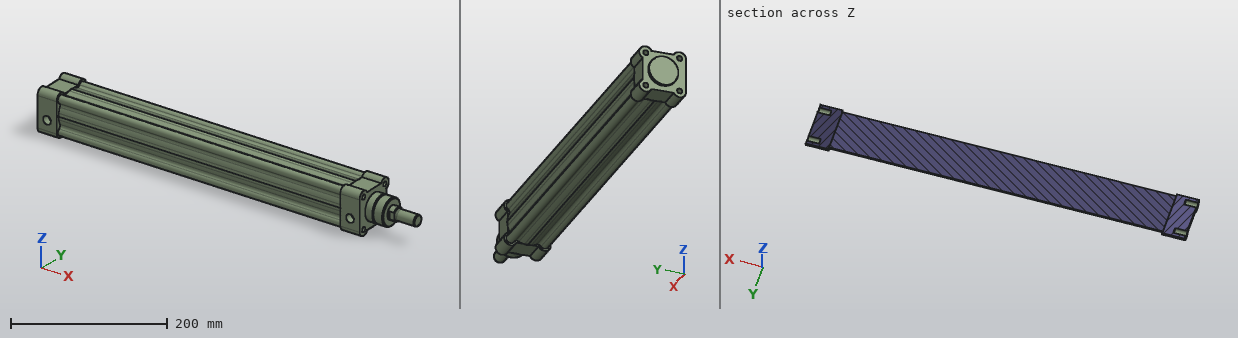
import cadquery as cq
import math


overall_length = 579.0
rear_boss_length = 4.0
cap_length = 30.0
barrel_length = 446.0
collar_length = 28.0
groove_distance = 11.0
groove_width = 2.0
thread_length = 32.0

cap_width = 64.5
tie_pitch = 46.5
recess_distance = 27.0
boss_diameter = 40.0
tie_hole_diameter = 7.0
tie_hole_depth = 16.0
port_diameter = 12.0
port_depth = 11.5
port_drop = 8.0
collar_edge_chamfer = 1.45
groove_depth = 0.5

tube_diameter = 55.5
ridge_half_width = 4.5
rib_diameter = 12.0
rib_blend_radius = 4.5

rod_diameter = 20.0
wrench_flat_width = 17.0
wrench_flat_length = 7.0
thread_diameter = 16.0
neck_length = 2.0
neck_cone_length = 2.0
thread_chamfer_length = 2.0
thread_chamfer_height = 0.5

tie_offset = tie_pitch / 2
half_width = cap_width / 2
ear_radius = half_width - tie_offset
rib_radius = rib_diameter / 2
tube_radius = tube_diameter / 2
rear_cap_start = rear_boss_length
barrel_start = rear_cap_start + cap_length
front_cap_start = barrel_start + barrel_length
front_cap_end = front_cap_start + cap_length
collar_end = front_cap_end + collar_length
thread_start = overall_length - thread_length


def section_at(x):
    """Sketch plane across the cylinder axis: local x is +Y, local y is +Z."""
    return cq.Workplane("YZ", origin=(x, 0, 0))


def tie_points(workplane):
    return workplane.rect(tie_pitch, tie_pitch, forConstruction=True).vertices()


def make_cap_block(x, tie_hole_x):
    """Cap with round corner ears, a flush -Y port face and three recessed sides."""
    core = (
        section_at(x)
        .center((recess_distance - half_width) / 2, 0)
        .rect(recess_distance + half_width, tie_pitch)
        .extrude(cap_length)
    )
    middle = section_at(x).rect(tie_pitch, 2 * recess_distance).extrude(cap_length)
    ears = tie_points(section_at(x)).circle(ear_radius).extrude(cap_length)
    tie_holes = tie_points(section_at(tie_hole_x)).circle(tie_hole_diameter / 2).extrude(tie_hole_depth)
    port = (
        cq.Workplane("XZ", origin=(x + cap_length / 2, -half_width, -port_drop))
        .circle(port_diameter / 2)
        .extrude(-port_depth)
    )
    return core.union(middle).union(ears).cut(tie_holes).cut(port)


def make_rear_cap():
    boss = section_at(0).circle(boss_diameter / 2).extrude(rear_boss_length)
    return make_cap_block(rear_cap_start, rear_cap_start).union(boss)


def make_front_cap():
    boss_radius = boss_diameter / 2
    collar = (
        section_at(front_cap_end)
        .circle(boss_radius)
        .extrude(collar_length)
        .faces(">X")
        .chamfer(collar_edge_chamfer)
    )
    groove = (
        section_at(front_cap_end + groove_distance)
        .circle(boss_radius)
        .circle(boss_radius - groove_depth)
        .extrude(groove_width)
    )
    block = make_cap_block(front_cap_start, front_cap_end - tie_hole_depth)
    return block.union(collar.cut(groove))


def polar(center, radius, angle):
    """Point at a radius and angle around a center."""
    return (center[0] + radius * math.cos(angle), center[1] + radius * math.sin(angle))


def add_arc(outline, center, radius, start_angle, end_angle):
    """Continue an outline with a circular arc that begins where the outline now ends."""
    middle_angle = (start_angle + end_angle) / 2
    return outline.threePointArc(polar(center, radius, middle_angle), polar(center, radius, end_angle))


def make_barrel():
    """Round body with a blended rib at each corner and a low peaked ridge along each side."""
    axis = (0, 0)
    rib_distance = tie_offset * math.sqrt(2)
    blend_distance = tube_radius + rib_blend_radius
    rib_reach = rib_radius + rib_blend_radius

    angle_at_axis = math.acos(
        (rib_distance**2 + blend_distance**2 - rib_reach**2) / (2 * rib_distance * blend_distance)
    )
    angle_at_rib = math.acos(
        (rib_distance**2 + rib_reach**2 - blend_distance**2) / (2 * rib_distance * rib_reach)
    )

    ridge_angle = math.asin(ridge_half_width / tube_radius)
    ridge_radius = tube_radius / math.cos(ridge_angle)

    outline = section_at(barrel_start).moveTo(ridge_radius, 0)
    for corner in range(4):
        side = corner * math.pi / 2
        diagonal = side + math.pi / 4
        next_side = side + math.pi / 2
        blend_in = diagonal - angle_at_axis
        blend_out = diagonal + angle_at_axis
        rib_start = diagonal - math.pi + angle_at_rib
        rib_end = diagonal + math.pi - angle_at_rib
        rib_center = polar(axis, rib_distance, diagonal)
        blend_in_center = polar(axis, blend_distance, blend_in)
        blend_out_center = polar(axis, blend_distance, blend_out)

        outline = outline.lineTo(*polar(axis, tube_radius, side + ridge_angle))
        outline = add_arc(outline, axis, tube_radius, side + ridge_angle, blend_in)
        outline = add_arc(
            outline, blend_in_center, rib_blend_radius, blend_in + math.pi, rib_start + math.pi
        )
        outline = add_arc(outline, rib_center, rib_radius, rib_start, rib_end)
        outline = add_arc(
            outline, blend_out_center, rib_blend_radius, rib_end - math.pi, blend_out - math.pi
        )
        outline = add_arc(outline, axis, tube_radius, blend_out, next_side - ridge_angle)
        outline = outline.lineTo(*polar(axis, ridge_radius, next_side))
    return outline.close().extrude(barrel_length)


def make_rod():
    rod_radius = rod_diameter / 2
    neck_radius = wrench_flat_width / 2
    thread_radius = thread_diameter / 2
    rod = (
        cq.Workplane("XY")
        .moveTo(collar_end, 0)
        .lineTo(collar_end, rod_radius)
        .lineTo(thread_start, rod_radius)
        .lineTo(thread_start, neck_radius)
        .lineTo(thread_start + neck_length, neck_radius)
        .lineTo(thread_start + neck_length + neck_cone_length, thread_radius)
        .lineTo(overall_length - thread_chamfer_length, thread_radius)
        .lineTo(overall_length, thread_radius - thread_chamfer_height)
        .lineTo(overall_length, 0)
        .close()
        .revolve(360, (0, 0, 0), (1, 0, 0))
    )
    flat_depth = (rod_diameter - wrench_flat_width) / 2
    for side in (1, -1):
        flat = cq.Workplane("XY").box(wrench_flat_length, flat_depth, rod_diameter).translate(
            (
                thread_start - wrench_flat_length / 2,
                side * (wrench_flat_width + flat_depth) / 2,
                0,
            )
        )
        rod = rod.cut(flat)
    return rod


rear_cap = make_rear_cap()
barrel = make_barrel()
front_cap = make_front_cap()
rod = make_rod()

result = cq.Compound.makeCompound([rear_cap.val(), barrel.val(), front_cap.val(), rod.val()])